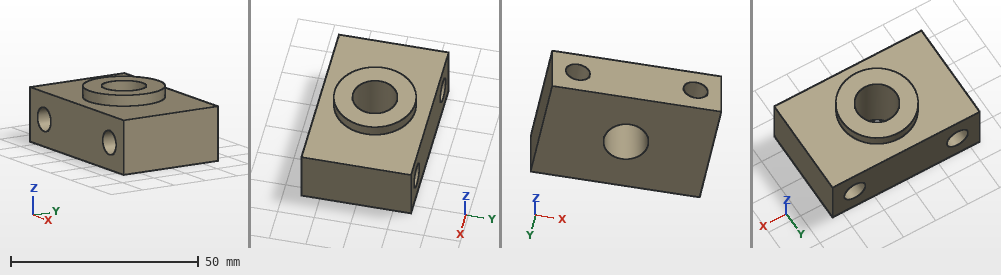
import cadquery as cq

block_length = 46.0
block_width = 30.0
block_height = 15.0

boss_diameter = 22.0
boss_height = 3.0
bore_diameter = 12.0

cross_hole_diameter = 6.6
cross_hole_spacing = 32.0

block = cq.Workplane("XY").box(
    block_length, block_width, block_height, centered=(True, True, False)
)

boss = (
    cq.Workplane("XY")
    .workplane(offset=block_height)
    .circle(boss_diameter / 2)
    .extrude(boss_height)
)

bore = cq.Workplane("XY").circle(bore_diameter / 2).extrude(block_height + boss_height)

cross_holes = (
    cq.Workplane("XZ", origin=(0, 0, block_height / 2))
    .pushPoints([(-cross_hole_spacing / 2, 0), (cross_hole_spacing / 2, 0)])
    .circle(cross_hole_diameter / 2)
    .extrude(block_width / 2, both=True)
)

result = block.union(boss).cut(bore).cut(cross_holes)